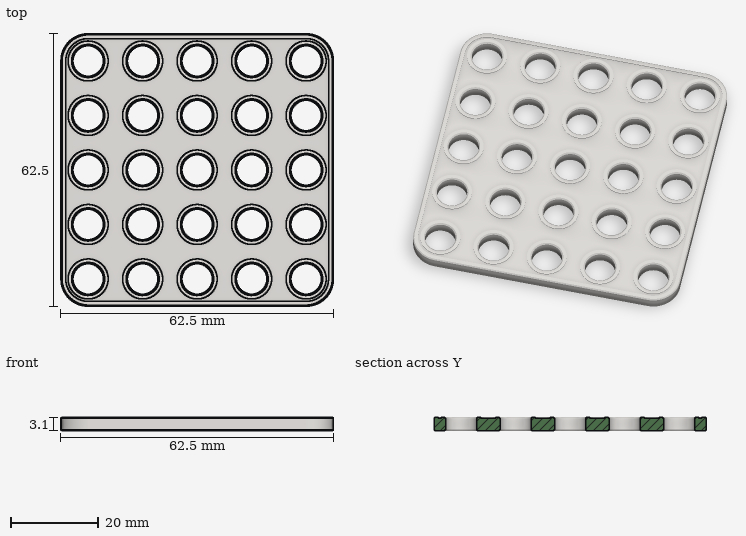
import cadquery as cq

pitch = 12.5
holes_per_side = 5
side = pitch * holes_per_side
thickness = 3.1
corner_radius = pitch / 2
edge_chamfer = 0.25

hole_diameter = 7.0
hole_chamfer = 0.3

ring_diameter = 9.2
recess_depth = 0.2
ring_wall = (ring_diameter - hole_diameter) / 2
rim_width = ring_wall


def rounded_square(width, radius, height):
    return cq.Workplane("XY").rect(width, width).extrude(height).edges("|Z").fillet(radius)


def hole_grid():
    return cq.Workplane("XY").rarray(pitch, pitch, holes_per_side, holes_per_side)


def make_plate():
    return rounded_square(side, corner_radius, thickness).faces("<Z or >Z").chamfer(edge_chamfer)


def make_recess():
    """Recess volume, its open side level with the top of the plate."""
    pocket = rounded_square(side - 2 * rim_width, corner_radius - rim_width, recess_depth)
    rings = hole_grid().circle(ring_diameter / 2).extrude(recess_depth)
    return pocket.cut(rings).translate((0, 0, thickness - recess_depth))


def make_holes():
    """Through holes with a chamfer at both mouths."""
    radius = hole_diameter / 2
    mouth_radius = radius + hole_chamfer
    half_profile = [
        (0, 0),
        (mouth_radius, 0),
        (radius, hole_chamfer),
        (radius, thickness - hole_chamfer),
        (mouth_radius, thickness),
        (0, thickness),
    ]
    cutter = cq.Workplane("XZ").polyline(half_profile).close().revolve(360, (0, 0), (0, 1)).val()
    return hole_grid().eachpoint(lambda location: cutter.moved(location))


result = make_plate().cut(make_recess()).cut(make_holes())